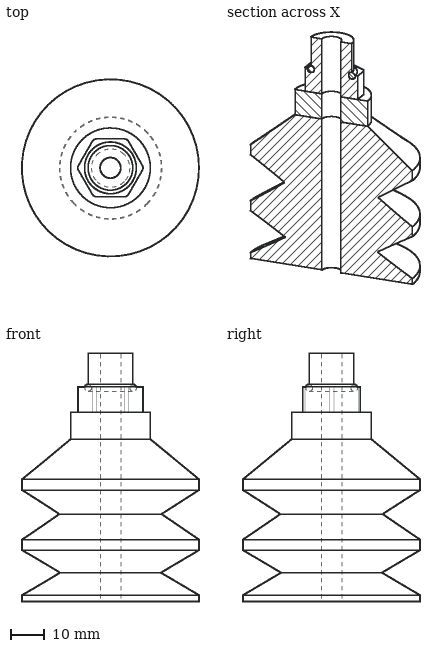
import cadquery as cq
import math

total_height = 73.1
hex_top = 63.15
collar_top = 55.75
collar_bottom = 47.8

rim_radius = 26.1
lip_height = 1.9
lower_waist_z = 8.5
middle_rim_bottom = 15.1
middle_rim_top = 18.25
upper_waist_z = 25.75
upper_rim_bottom = 32.8
upper_rim_top = 36.0
lower_waist_radius = 14.9
upper_waist_radius = 15.1

collar_radius = 11.75
bore_radius = 3.0
hex_across_flats = 17.0
hex_corner_radius = 1.35
stud_radius = 6.58

ring_section_radius = 1.0
ring_outer_radius = 7.63
ring_sink = 0.2
ring_center_radius = ring_outer_radius - ring_section_radius
ring_center_z = hex_top - ring_sink


def make_ring():
    """O-ring: a round section swept around Z at the top of the hexagon."""
    section = cq.Workplane("XZ").center(ring_center_radius, ring_center_z).circle(ring_section_radius)
    return section.revolve(360, (-ring_center_radius, 0), (-ring_center_radius, 1))


def make_bellows():
    """Suction cup turned as one profile, from the sealing lip to the collar, with the air bore."""
    outline = [
        (bore_radius, 0),
        (rim_radius, 0),
        (rim_radius, lip_height),
        (lower_waist_radius, lower_waist_z),
        (rim_radius, middle_rim_bottom),
        (rim_radius, middle_rim_top),
        (upper_waist_radius, upper_waist_z),
        (rim_radius, upper_rim_bottom),
        (rim_radius, upper_rim_top),
        (collar_radius, collar_bottom),
        (bore_radius, collar_bottom),
    ]
    return cq.Workplane("XZ").polyline(outline).close().revolve(360, (0, 0), (0, 1))


def make_collar():
    """Plain round collar between the bellows and the fitting."""
    base = cq.Workplane("XY").workplane(offset=collar_bottom)
    return base.circle(collar_radius).circle(bore_radius).extrude(collar_top - collar_bottom)


def make_fitting(ring):
    """Hexagon with rounded corners and a round stud on top, grooved for the O-ring and bored through."""
    hex_across_corners = hex_across_flats / math.cos(math.radians(30))
    base = cq.Workplane("XY").workplane(offset=collar_top)
    hexagon = base.polygon(6, hex_across_corners).extrude(hex_top - collar_top)
    hexagon = hexagon.edges("|Z").fillet(hex_corner_radius)
    stud = cq.Workplane("XY").workplane(offset=hex_top).circle(stud_radius).extrude(total_height - hex_top)
    bore = base.circle(bore_radius).extrude(total_height - collar_top)
    return hexagon.union(stud).cut(bore).cut(ring)


o_ring = make_ring()
bellows = make_bellows()
collar = make_collar()
fitting = make_fitting(o_ring)

result = cq.Compound.makeCompound([bellows.val(), collar.val(), fitting.val(), o_ring.val()])